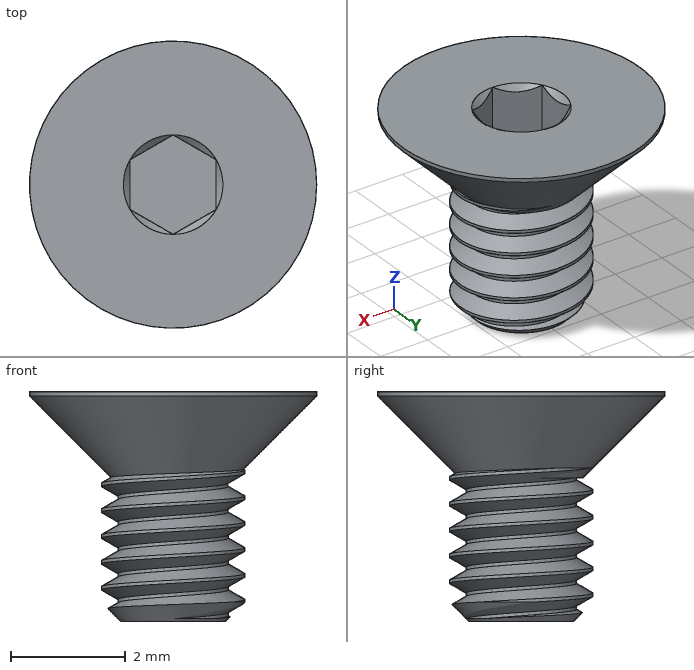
import cadquery as cq
import math

screw_length = 4.0

head_diameter = 5.0
head_radius = head_diameter / 2
head_height = 1.5
rim_height = 0.075

thread_diameter = 2.5
thread_radius = thread_diameter / 2
root_radius = 1.92 / 2
pitch = 0.45
flank_angle = math.radians(30)
crest_width = pitch / 8
tip_radius = 0.91
groove_height_at_x = 0.13

hidden_shank_height = 0.9
groove_turns = 8

socket_across_flats = 1.5
socket_across_corners = socket_across_flats / math.cos(math.radians(30))
socket_depth = 1.05


def make_head():
    """Thin cylindrical rim above a 45 degree cone."""
    cone_height = head_height - rim_height
    neck_radius = head_radius - cone_height
    outline = (
        cq.Workplane("XZ")
        .lineTo(head_radius, 0)
        .lineTo(head_radius, -rim_height)
        .lineTo(neck_radius, -head_height)
        .lineTo(0, -head_height)
        .close()
    )
    return outline.revolve(360, (0, 0), (0, 1))


def make_thread_groove(start_z, turns):
    """Right-handed V groove with a narrow flat root, starting on the +X side."""
    overshoot = 0.02
    outer_radius = thread_radius + overshoot
    groove_half_width = (pitch - crest_width) / 2
    outer_half_width = groove_half_width + overshoot * math.tan(flank_angle)
    root_half_width = groove_half_width - (thread_radius - root_radius) * math.tan(flank_angle)
    helix = cq.Wire.makeHelix(pitch, turns * pitch, root_radius)
    groove = (
        cq.Workplane("XZ")
        .moveTo(root_radius, -root_half_width)
        .lineTo(outer_radius, -outer_half_width)
        .lineTo(outer_radius, outer_half_width)
        .lineTo(root_radius, root_half_width)
        .close()
        .sweep(cq.Workplane(obj=helix), isFrenet=True)
    )
    return groove.translate((0, 0, start_z))


def make_shank():
    """Threaded shank with a 45 degree tip; its upper end lies inside the head."""
    tip_z = -screw_length
    shank_top_z = -head_height + hidden_shank_height
    shank_height = shank_top_z - tip_z
    groove_start_z = tip_z + groove_height_at_x - pitch
    blank = cq.Workplane("XY", origin=(0, 0, tip_z)).circle(thread_radius).extrude(shank_height)
    threaded = blank.cut(make_thread_groove(groove_start_z, groove_turns))
    tip_cone = cq.Workplane(
        obj=cq.Solid.makeCone(
            tip_radius, tip_radius + shank_height, shank_height, cq.Vector(0, 0, tip_z)
        )
    )
    return threaded.intersect(tip_cone)


def make_socket():
    """Hexagonal socket with two corners on Y and a 45 degree lead-in cone."""
    hexagon = (
        cq.Workplane("XY")
        .transformed(rotate=(0, 0, 90))
        .polygon(6, socket_across_corners)
        .extrude(-socket_depth)
    )
    lead_in_radius = socket_across_corners / 2
    lead_in = cq.Workplane(
        obj=cq.Solid.makeCone(lead_in_radius, 0, lead_in_radius, dir=cq.Vector(0, 0, -1))
    )
    return hexagon.union(lead_in)


result = make_head().union(make_shank()).cut(make_socket())